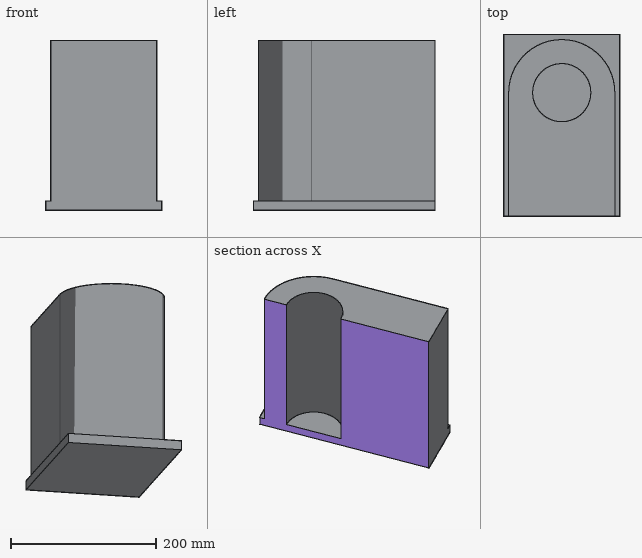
import cadquery as cq

base_width = 160.0
base_length = 250.0
base_height = 13.0
total_height = 233.5

body_width = 146.0
body_radius = body_width / 2
round_center_y = base_length - base_width / 2

bore_diameter = 80.0
body_height = total_height - base_height


def make_base():
    return cq.Workplane("XY").box(base_width, base_length, base_height, centered=(True, False, False))


def make_body():
    return (
        cq.Workplane("XY", origin=(0, 0, base_height))
        .moveTo(-body_radius, 0)
        .lineTo(body_radius, 0)
        .lineTo(body_radius, round_center_y)
        .threePointArc((0, round_center_y + body_radius), (-body_radius, round_center_y))
        .close()
        .extrude(body_height)
    )


def make_bore():
    return (
        cq.Workplane("XY", origin=(0, round_center_y, base_height))
        .circle(bore_diameter / 2)
        .extrude(body_height)
    )


result = make_base().union(make_body().cut(make_bore()))